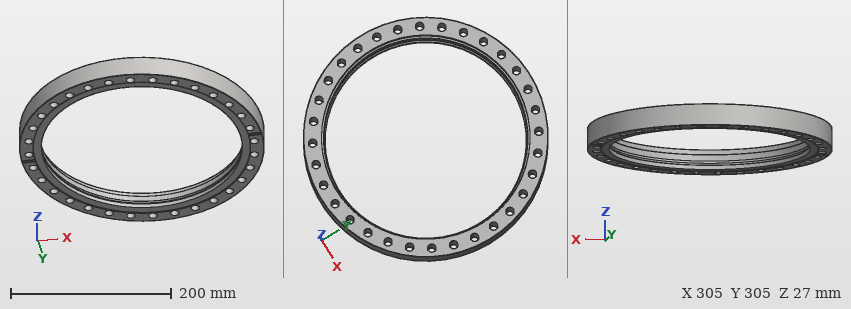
import cadquery as cq

ring_diameter = 305.0
ring_height = 27.0
ring_bore_diameter = 260.0
rim_chamfer = 0.5
seat_diameter = 271.0
lip_height = 6.7

bolt_count = 32
bolt_circle_diameter = 282.0
bolt_hole_diameter = 10.5

groove_width = 3.7
groove_depth = 1.0

insert_diameter = 270.2
face_recess = 1.2
neck_diameter = 254.0
neck_chamfer = 0.45
collar_diameter = 253.5
bore_diameter = 250.5
collar_top_depth = 15.0
collar_bottom_depth = 17.7
undercut_bottom_depth = 20.5
undercut_centre_diameter = 254.5


def make_ring():
    body = cq.Workplane("XY").circle(ring_diameter / 2).extrude(ring_height)
    body = body.edges().chamfer(rim_chamfer)
    bore = cq.Workplane("XY").circle(ring_bore_diameter / 2).extrude(ring_height)
    seat = cq.Workplane("XY").circle(seat_diameter / 2).extrude(ring_height - lip_height)
    bolt_holes = (
        cq.Workplane("XY")
        .polarArray(bolt_circle_diameter / 2, 180 / bolt_count, 360, bolt_count)
        .circle(bolt_hole_diameter / 2)
        .extrude(ring_height)
    )
    grooves = cq.Workplane("XY").box(
        ring_diameter, groove_width, groove_depth, centered=(True, True, False)
    )
    return body.cut(bore).cut(seat).cut(bolt_holes).cut(grooves)


def make_insert():
    outer_radius = insert_diameter / 2
    top = ring_height - lip_height
    collar_top = ring_height - collar_top_depth
    collar_bottom = ring_height - collar_bottom_depth
    undercut_bottom = ring_height - undercut_bottom_depth
    undercut_radius = (collar_bottom - undercut_bottom) / 2
    undercut_centre = undercut_centre_diameter / 2
    section = (
        cq.Workplane("XZ")
        .moveTo(outer_radius, face_recess)
        .lineTo(outer_radius, top)
        .lineTo(neck_diameter / 2 + neck_chamfer, top)
        .lineTo(neck_diameter / 2, top - neck_chamfer)
        .lineTo(neck_diameter / 2, collar_top)
        .lineTo(collar_diameter / 2, collar_top)
        .lineTo(collar_diameter / 2, collar_bottom)
        .lineTo(undercut_centre, collar_bottom)
        .threePointArc(
            (undercut_centre + undercut_radius, undercut_bottom + undercut_radius),
            (undercut_centre, undercut_bottom),
        )
        .lineTo(bore_diameter / 2, undercut_bottom)
        .lineTo(bore_diameter / 2, face_recess)
        .close()
    )
    return section.revolve(360, (0, 0), (0, 1))


ring = make_ring()
insert = make_insert()

result = cq.Compound.makeCompound([ring.val(), insert.val()])